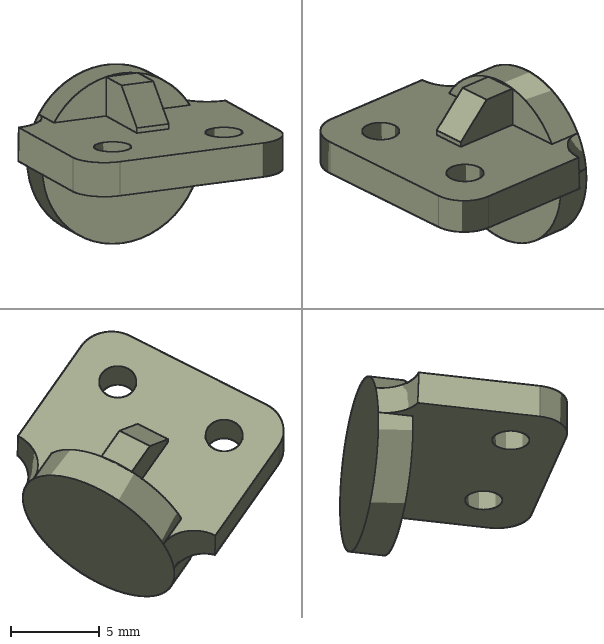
import cadquery as cq
import math

plate_width = 13.0
plate_length = 11.0
thickness = 2 * plate_width / 13
disc_diameter = 10.0
disc_radius = disc_diameter / 2

plate_top = 2.6
corner_radius = thickness
hole_diameter = 2.1
hole_x = 4 * thickness
hole_spacing = 3.5 * thickness

rib_length = 2 * thickness
rib_end = thickness + rib_length
rib_chamfer = thickness
rib_top = math.sqrt(disc_radius**2 - (thickness / 2) ** 2)

fillet_radius = thickness


def make_disc():
    return cq.Workplane("YZ").circle(disc_radius).extrude(thickness)


def make_fillet_cutter():
    """Ring around the disc that hollows the plate's front corners."""
    ring_radius = disc_radius + fillet_radius
    return (
        cq.Workplane("XY")
        .center(0, ring_radius)
        .circle(fillet_radius)
        .revolve(360, (0, -ring_radius), (1, -ring_radius))
    )


def make_plate():
    plate = (
        cq.Workplane("XY")
        .workplane(offset=plate_top - thickness)
        .rect(plate_length, plate_width)
        .extrude(thickness)
        .translate((plate_length / 2, 0, 0))
        .edges("|Z and >X")
        .fillet(corner_radius)
    )
    holes = (
        cq.Workplane("XY")
        .pushPoints([(hole_x, -hole_spacing / 2), (hole_x, hole_spacing / 2)])
        .circle(hole_diameter / 2)
        .extrude(plate_top)
    )
    return plate.cut(holes).cut(make_fillet_cutter())


def make_rib():
    rib_base = plate_top - thickness / 2
    rib_start = thickness / 2
    return (
        cq.Workplane("XZ")
        .moveTo(rib_start, rib_base)
        .lineTo(rib_end, rib_base)
        .lineTo(rib_end, rib_top - rib_chamfer)
        .lineTo(rib_end - rib_chamfer, rib_top)
        .lineTo(rib_start, rib_top)
        .close()
        .extrude(thickness / 2, both=True)
    )


result = make_disc().union(make_plate()).union(make_rib())